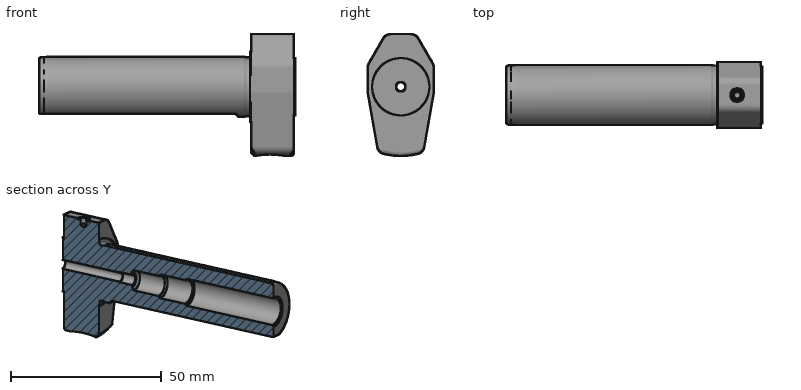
import cadquery as cq
import math


HEAD_THICKNESS = 14.2
HEAD_HALF_WIDTH = 11.0
HEAD_TOP = 17.5
HEAD_TOP_HALF_WIDTH = 5.0
ROOF_ANGLE = 30.0
DRAFT_ANGLE = 10.0
DRAFT_START = -2.0
NOSE_RADIUS = 23.0
HEAD_FILLET = 3.0
NOSE_CHAMFER = 1.2
NOSE_RIM_FILLET = 1.2
NOSE_HOLLOW_DEPTH = 0.45

COLLAR_RADIUS = 11.65
COLLAR_THICKNESS = 0.3
PAD_RADIUS = 9.5
PAD_THICKNESS = 0.5

SHANK_LENGTH = 70.0
SHANK_RADIUS = 10.0
TIP_FACE_RADIUS = 9.35
TIP_CROWN_RADIUS = 9.85
TIP_CROWN_LENGTH = 1.7
TIP_CROWN_MID_ANGLE = 40.0
TIP_TAPER_LENGTH = 1.5
TIP_FILLET = 0.5
FLAT_Z = -9.0
FLAT_END_GAP = 4.8

UNDERCUT_RADIUS = 9.8
UNDERCUT_RAMP = 0.8
UNDERCUT_LAND = 0.8
UNDERCUT_FILLET = 0.4

BORE_MOUTH_RADIUS = 5.25
BORE_RADIUS = 4.65
BORE_CHAMFER_LENGTH = 0.35
BORE_DEPTH = 35.0
PILOT_RADIUS = 4.1
PILOT_LENGTH = 10.0
DRILL_RADIUS = 3.45
DRILL_LENGTH = 10.0
DRILL_TIP_RADIUS = 2.31
LEAD_RADIUS = 1.7
LEAD_LENGTH = 5.0
THROUGH_RADIUS = 1.5
DRILL_HALF_ANGLE = 59.0

SCREW_X = 6.3
SCREW_MOUTH_RADIUS = 2.25
SCREW_RADIUS = 2.0
SCREW_POINT_RADIUS = 1.5
SCREW_SOCKET_RADIUS = 1.155
SCREW_SOCKET_DEPTH = 2.0

COLLAR_FRONT = -COLLAR_THICKNESS
SHANK_TIP = COLLAR_FRONT - SHANK_LENGTH
PAD_BACK = HEAD_THICKNESS + PAD_THICKNESS


def drill_point_length(radius_change):
    return radius_change / math.tan(math.radians(DRILL_HALF_ANGLE))


def disc(x_start, radius, thickness):
    return cq.Workplane("YZ").workplane(offset=x_start).circle(radius).extrude(thickness)


def revolve_about_x(profile):
    return profile.close().revolve(360, (0, 0, 0), (1, 0, 0))


def revolve_about_z(profile):
    return profile.close().revolve(360, (0, 0, 0), (0, 1, 0))


def nose_corner():
    """Point (Y, Z) where the tapered flank meets the nose circle."""
    slope = math.tan(math.radians(DRAFT_ANGLE))
    width_at_axis = HEAD_HALF_WIDTH - DRAFT_START * slope
    a = 1 + slope ** 2
    half_b = width_at_axis * slope
    c = width_at_axis ** 2 - NOSE_RADIUS ** 2
    z = -(half_b + math.sqrt(half_b ** 2 - a * c)) / a
    return width_at_axis + z * slope, z


def head_prism():
    """Head outline extruded along X, with its corners rounded."""
    roof_drop = (HEAD_HALF_WIDTH - HEAD_TOP_HALF_WIDTH) / math.tan(math.radians(ROOF_ANGLE))
    shoulder_z = HEAD_TOP - roof_drop
    corner_y, corner_z = nose_corner()
    prism = (
        cq.Workplane("YZ")
        .moveTo(-HEAD_TOP_HALF_WIDTH, HEAD_TOP)
        .lineTo(HEAD_TOP_HALF_WIDTH, HEAD_TOP)
        .lineTo(HEAD_HALF_WIDTH, shoulder_z)
        .lineTo(HEAD_HALF_WIDTH, DRAFT_START)
        .lineTo(corner_y, corner_z)
        .threePointArc((0, -NOSE_RADIUS), (-corner_y, corner_z))
        .lineTo(-HEAD_HALF_WIDTH, DRAFT_START)
        .lineTo(-HEAD_HALF_WIDTH, shoulder_z)
        .close()
        .extrude(HEAD_THICKNESS)
    )
    return prism.edges("|X").edges(">Z or >>Z[-2] or <Z").fillet(HEAD_FILLET)


def nose_envelope():
    """Revolved body that chamfers the front rim and rounds the back rim of the nose."""
    arc_inset = NOSE_RIM_FILLET * (1 - math.sqrt(0.5))
    back = HEAD_THICKNESS
    profile = (
        cq.Workplane("XY")
        .lineTo(0, NOSE_RADIUS - NOSE_CHAMFER)
        .lineTo(NOSE_CHAMFER, NOSE_RADIUS)
        .lineTo(back - NOSE_RIM_FILLET, NOSE_RADIUS)
        .threePointArc((back - arc_inset, NOSE_RADIUS - arc_inset), (back, NOSE_RADIUS - NOSE_RIM_FILLET))
        .lineTo(back, 0)
    )
    return revolve_about_x(profile)


def nose_hollow():
    """Shallow cylindrical hollow across the nose, along Y, centred below the set screw."""
    half_length = SCREW_X - NOSE_CHAMFER
    return (
        cq.Workplane("XZ")
        .moveTo(SCREW_X - half_length, -NOSE_RADIUS)
        .threePointArc(
            (SCREW_X, -NOSE_RADIUS + NOSE_HOLLOW_DEPTH),
            (SCREW_X + half_length, -NOSE_RADIUS),
        )
        .close()
        .extrude(HEAD_HALF_WIDTH, both=True)
    )


def head():
    return head_prism().intersect(nose_envelope()).cut(nose_hollow())


def collar():
    """Thin disc in front of the head, trimmed to the head outline."""
    trim = head_prism().translate((COLLAR_FRONT, 0, 0))
    return disc(COLLAR_FRONT, COLLAR_RADIUS, COLLAR_THICKNESS).intersect(trim)


def shank_flat():
    """Material removed below the flat, with a 45 degree run-out."""
    flat_end = COLLAR_FRONT - FLAT_END_GAP
    flat_depth = SHANK_RADIUS + FLAT_Z
    return (
        cq.Workplane("XZ")
        .moveTo(SHANK_TIP, FLAT_Z)
        .lineTo(flat_end, FLAT_Z)
        .lineTo(flat_end + flat_depth, -SHANK_RADIUS)
        .lineTo(SHANK_TIP, -SHANK_RADIUS)
        .close()
        .extrude(SHANK_RADIUS, both=True)
    )


def shank():
    crown_end = SHANK_TIP + TIP_CROWN_LENGTH
    crown_rise = TIP_CROWN_RADIUS - TIP_FACE_RADIUS
    crown_angle = math.radians(TIP_CROWN_MID_ANGLE)
    crown_mid = (
        SHANK_TIP + TIP_CROWN_LENGTH * (1 - math.cos(crown_angle)),
        TIP_FACE_RADIUS + crown_rise * math.sin(crown_angle),
    )
    fillet_start = COLLAR_FRONT - UNDERCUT_FILLET
    land_start = fillet_start - UNDERCUT_LAND
    ramp_start = land_start - UNDERCUT_RAMP
    fillet_inset = UNDERCUT_FILLET * (1 - math.sqrt(0.5))
    profile = (
        cq.Workplane("XY")
        .moveTo(SHANK_TIP, 0)
        .lineTo(SHANK_TIP, TIP_FACE_RADIUS)
        .threePointArc(crown_mid, (crown_end, TIP_CROWN_RADIUS))
        .lineTo(crown_end + TIP_TAPER_LENGTH, SHANK_RADIUS)
        .lineTo(ramp_start, SHANK_RADIUS)
        .lineTo(land_start, UNDERCUT_RADIUS)
        .lineTo(fillet_start, UNDERCUT_RADIUS)
        .threePointArc(
            (COLLAR_FRONT - fillet_inset, UNDERCUT_RADIUS + fillet_inset),
            (COLLAR_FRONT, UNDERCUT_RADIUS + UNDERCUT_FILLET),
        )
        .lineTo(COLLAR_FRONT, 0)
    )
    body = revolve_about_x(profile).cut(shank_flat())
    return body.faces("<X").edges().fillet(TIP_FILLET)


def bore():
    """Axial bore through the part; behind its mouth it narrows by two 45 degree cones and a drill point."""
    bore_end = SHANK_TIP + BORE_DEPTH
    pilot_start = bore_end + BORE_RADIUS - PILOT_RADIUS
    pilot_end = pilot_start + PILOT_LENGTH
    drill_start = pilot_end + PILOT_RADIUS - DRILL_RADIUS
    drill_end = drill_start + DRILL_LENGTH
    tip_end = drill_end + drill_point_length(DRILL_RADIUS - DRILL_TIP_RADIUS)
    lead_end = tip_end + LEAD_LENGTH
    profile = (
        cq.Workplane("XY")
        .moveTo(SHANK_TIP, 0)
        .lineTo(SHANK_TIP, BORE_MOUTH_RADIUS)
        .lineTo(SHANK_TIP + BORE_CHAMFER_LENGTH, BORE_RADIUS)
        .lineTo(bore_end, BORE_RADIUS)
        .lineTo(pilot_start, PILOT_RADIUS)
        .lineTo(pilot_end, PILOT_RADIUS)
        .lineTo(drill_start, DRILL_RADIUS)
        .lineTo(drill_end, DRILL_RADIUS)
        .lineTo(tip_end, DRILL_TIP_RADIUS)
        .lineTo(tip_end, LEAD_RADIUS)
        .lineTo(lead_end, LEAD_RADIUS)
        .lineTo(lead_end, THROUGH_RADIUS)
        .lineTo(PAD_BACK, THROUGH_RADIUS)
        .lineTo(PAD_BACK, 0)
    )
    return revolve_about_x(profile)


def screw_groove():
    """V-shaped ring between the countersunk hole and the screw's chamfer."""
    profile = (
        cq.Workplane("XZ")
        .moveTo(SCREW_POINT_RADIUS, 0)
        .lineTo(SCREW_MOUTH_RADIUS, 0)
        .lineTo(SCREW_RADIUS, SCREW_RADIUS - SCREW_MOUTH_RADIUS)
        .lineTo(SCREW_RADIUS, SCREW_POINT_RADIUS - SCREW_RADIUS)
    )
    return revolve_about_z(profile)


def screw_socket():
    """Blind round socket with a drill point."""
    point_depth = SCREW_SOCKET_DEPTH + drill_point_length(SCREW_SOCKET_RADIUS)
    profile = (
        cq.Workplane("XZ")
        .lineTo(SCREW_SOCKET_RADIUS, 0)
        .lineTo(SCREW_SOCKET_RADIUS, -SCREW_SOCKET_DEPTH)
        .lineTo(0, -point_depth)
    )
    return revolve_about_z(profile)


screw_position = (SCREW_X, 0, HEAD_TOP)

result = (
    head()
    .union(collar())
    .union(disc(HEAD_THICKNESS, PAD_RADIUS, PAD_THICKNESS))
    .union(shank())
    .cut(bore())
    .cut(screw_groove().translate(screw_position))
    .cut(screw_socket().translate(screw_position))
)